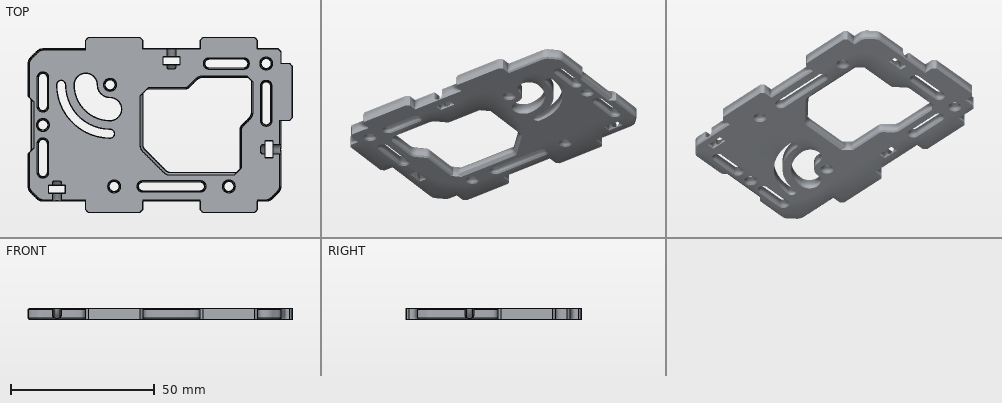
import cadquery as cq
import math


length = 92
width = 61.0
thickness = 4.0
tab_depth = thickness
tab_length = 20.0
tab_corner = 1.0
right_edge = length - tab_depth
half_depth = width / 2 - tab_depth
left_tab_x = 1.5 * tab_length
tab_gap_x = 2.5 * tab_length
second_tab_x = 3.5 * tab_length
right_tab_y = 11.5
corner_cut = 4.0
corner_radius = 3.0
edge_chamfer = 0.5

notch_half_length = 10.0
notch_depth = 1.0

edge_offset = 5.15
row_y = half_depth - edge_offset
right_column_x = right_edge - edge_offset
hole_diameter = 3.5
slot_width = 3.0
slot_end_length = 13.0
slot_side_length = 15.0
slot_long_length = 23
rim_chamfer = edge_chamfer
pivot = (28.5, 14.0)
hole_centres = [
    pivot,
    (edge_offset, 0),
    (left_tab_x, -row_y),
    (second_tab_x, -row_y),
    (right_column_x, row_y),
]
left_slot_y = 11.5
top_slot_x = 69
right_slot_y = 7.5
straight_slots = [
    (edge_offset, left_slot_y, slot_end_length, 90),
    (edge_offset, -left_slot_y, slot_end_length, 90),
    (tab_gap_x, -row_y, slot_long_length, 0),
    (top_slot_x, row_y, slot_side_length, 0),
    (right_column_x, right_slot_y, slot_side_length, 90),
]

arc_slots = [(8.5, 8.0), (17.0, slot_width)]

window_left = 40.0
window_bottom = -16.5
window_low_top = 12.5
window_top = 16.6
window_waist_right = 73.8
window_right = 77.7
window_step_x = 55.5
window_step_y = 3.2
window_big_cut = 8.6
window_left_cut = 1.4
window_right_cut = 1.1
window_inner_radius = 2.0
window_outer_radius = 3.0
window_wide_chamfer = 1.0

nut_offset = 2.85
nut_depth = 2.7
nut_width = 5.8
screw_width = 3.2
screw_length = 7.1
screw_axis_z = thickness / 2
screw_tip_chamfer = 0.55
t_slot_bottom_x = 10.0
t_slot_right_y = -8.5
t_slots = [
    (t_slot_bottom_x, -half_depth, 90),
    (tab_gap_x, half_depth, -90),
    (right_edge, t_slot_right_y, 180),
]


def slab(x0, x1, y0, y1):
    """Full-thickness block between the given limits."""
    return cq.Workplane("XY").box(x1 - x0, y1 - y0, thickness, centered=False).translate((x0, y0, 0))


def chamfer_run(body, x, y, z, size):
    """Chamfer the smooth run of edges that passes nearest to a point."""
    return body.edges(cq.selectors.NearestToPointSelector((x, y, z))).chamfer(size)


def make_blank():
    """Plate with its clipped corners and its finger-joint tabs."""
    main = slab(0, right_edge, -half_depth, half_depth)
    cut_corners = main.edges("|Z and <X").add(main.edges("|Z and >X").edges("<Y"))
    main = cut_corners.chamfer(corner_cut)
    diagonals = main.faces("#Z").faces("not(#X or #Y)")
    main = diagonals.edges("|Z").fillet(corner_radius)
    main = main.edges("|Z").edges(">X").edges(">Y").chamfer(tab_corner)

    for x in (left_tab_x, second_tab_x):
        tab = slab(x - tab_length / 2, x + tab_length / 2, -width / 2, width / 2)
        main = main.union(tab.edges("|Z").chamfer(tab_corner))
    right_tab = slab(
        right_edge - tab_depth, length, right_tab_y - tab_length / 2, right_tab_y + tab_length / 2
    )
    return main.union(right_tab.edges("|Z and >X").chamfer(tab_corner))


def chamfer_outline(body):
    """Chamfer the left end, the gap between the lower tabs and the lower right corner."""
    for z in (0, thickness):
        body = chamfer_run(body, 0, 0, z, edge_chamfer)
        body = chamfer_run(body, tab_gap_x, -half_depth, z, edge_chamfer)
        body = chamfer_run(body, right_edge, -half_depth / 2, z, edge_chamfer)
    return body


def cut_notch(body):
    """Notch with 45 degree ends in the left side; its floor slopes away above and below."""
    far = 2 * notch_depth
    plan = (
        cq.Workplane("XY")
        .polyline(
            [
                (0, notch_half_length),
                (far, notch_half_length - far),
                (far, far - notch_half_length),
                (0, -notch_half_length),
            ]
        )
        .close()
        .extrude(thickness)
    )
    profile = (
        cq.Workplane("XZ")
        .polyline(
            [
                (0, 0),
                (far, 0),
                (notch_depth, notch_depth),
                (notch_depth, thickness - notch_depth),
                (far, thickness),
                (0, thickness),
            ]
        )
        .close()
        .extrude(notch_half_length, both=True)
    )
    return body.cut(plan.intersect(profile))


def cut_window(body):
    """Stepped window; its plain corner cuts stay sharp and separate the chamfered runs."""
    waist_step = window_right - window_waist_right
    top_step = window_top - window_low_top
    outline = [
        (window_left, window_bottom + window_big_cut, window_inner_radius),
        (window_left + window_big_cut, window_bottom, window_inner_radius),
        (window_waist_right - window_right_cut, window_bottom, 0),
        (window_waist_right, window_bottom + window_right_cut, 0),
        (window_waist_right, window_step_y - waist_step, window_inner_radius),
        (window_right, window_step_y, window_outer_radius),
        (window_right, window_top - window_right_cut, 0),
        (window_right - window_right_cut, window_top, 0),
        (window_step_x + top_step, window_top, window_outer_radius),
        (window_step_x, window_low_top, window_inner_radius),
        (window_left + window_left_cut, window_low_top, 0),
        (window_left, window_low_top - window_left_cut, 0),
    ]
    opening = cq.Workplane("XY").polyline([(x, y) for x, y, _ in outline]).close().extrude(thickness)
    for x, y, radius in outline:
        if radius > 0:
            corner = cq.selectors.NearestToPointSelector((x, y, thickness / 2))
            opening = opening.edges("|Z").edges(corner).fillet(radius)
    body = body.cut(opening)

    low_top_middle = (window_left + window_step_x) / 2
    right_middle = (window_step_y + window_top) / 2
    for z in (0, thickness):
        body = chamfer_run(body, window_left, 0, z, window_wide_chamfer)
        body = chamfer_run(body, low_top_middle, window_low_top, z, rim_chamfer)
        body = chamfer_run(body, window_right, right_middle, z, rim_chamfer)
    return body


def arc_slot(radius, width_across):
    """Quarter-circle slot below and left of the pivot hole, with round ends."""
    half_width = width_across / 2
    outer = radius + half_width
    inner = radius - half_width
    diagonal = math.sqrt(0.5)
    return (
        cq.Workplane("XY")
        .center(*pivot)
        .moveTo(-outer, 0)
        .threePointArc((-outer * diagonal, -outer * diagonal), (0, -outer))
        .threePointArc((half_width, -radius), (0, -inner))
        .threePointArc((-inner * diagonal, -inner * diagonal), (-inner, 0))
        .threePointArc((-radius, half_width), (-outer, 0))
        .close()
        .extrude(thickness)
    )


def t_slot(x, y, direction):
    """Screw channel with a round floor, crossed by a through pocket for the nut."""
    radius = screw_width / 2
    channel = (
        cq.Workplane("YZ")
        .moveTo(-radius, thickness)
        .lineTo(-radius, screw_axis_z)
        .threePointArc((0, screw_axis_z - radius), (radius, screw_axis_z))
        .lineTo(radius, thickness)
        .close()
        .extrude(screw_length)
    )
    plan = slab(0, screw_length, -radius, radius).edges("|Z and >X").chamfer(screw_tip_chamfer)
    channel = channel.intersect(plan)
    nut = slab(nut_offset, nut_offset + nut_depth, -nut_width / 2, nut_width / 2)
    return channel.union(nut).rotate((0, 0, 0), (0, 0, 1), direction).translate((x, y, 0))


def cut_holes(body):
    """Round through holes, chamfered at both ends."""
    for x, y in hole_centres:
        hole = cq.Workplane("XY").circle(hole_diameter / 2).extrude(thickness)
        body = body.cut(hole.translate((x, y, 0)))
        for z in (0, thickness):
            body = chamfer_run(body, x, y, z, rim_chamfer)
    return body


def cut_straight_slots(body):
    """Straight through slots with round ends, chamfered at both rims."""
    for x, y, slot_length, angle in straight_slots:
        slot = cq.Workplane("XY").slot2D(slot_length, slot_width, angle).extrude(thickness)
        body = body.cut(slot.translate((x, y, 0)))
        across = math.radians(angle + 90)
        rim_x = x + slot_width / 2 * math.cos(across)
        rim_y = y + slot_width / 2 * math.sin(across)
        for z in (0, thickness):
            body = chamfer_run(body, rim_x, rim_y, z, rim_chamfer)
    return body


result = make_blank()
result = chamfer_outline(result)
result = cut_notch(result)
result = cut_window(result)
result = cut_holes(result)
result = cut_straight_slots(result)
for radius, arc_width in arc_slots:
    result = result.cut(arc_slot(radius, arc_width))
for x, y, direction in t_slots:
    result = result.cut(t_slot(x, y, direction))